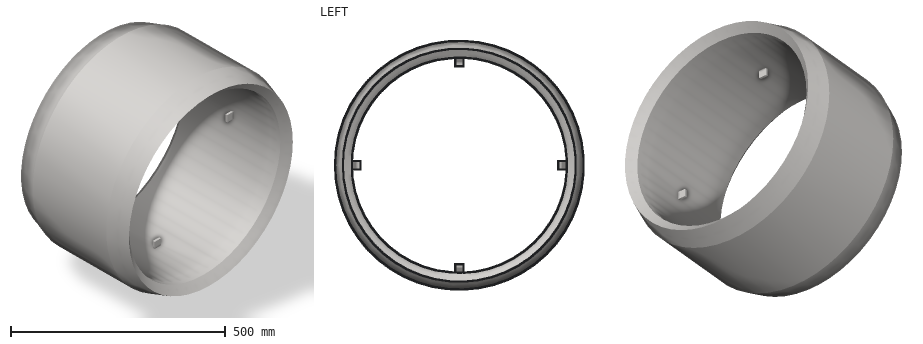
import cadquery as cq

length = 353.0
outer_radius = 289.5
bore_radius = 250.0
bevel_length = 56.0
bevel_depth = 18.5
countersink_depth = 20.0

tab_count = 4
tab_width = 20.0
tab_thickness = 6.0
tab_protrusion = 20.0
tab_embed = 6.0


def make_ring():
    """Revolve the wall: bevelled outside, countersunk bore, sharp end edges."""
    half = length / 2
    edge_radius = outer_radius - bevel_depth
    return (
        cq.Workplane("XY")
        .moveTo(-half, edge_radius)
        .lineTo(-half + bevel_length, outer_radius)
        .lineTo(half - bevel_length, outer_radius)
        .lineTo(half, edge_radius)
        .lineTo(half - countersink_depth, bore_radius)
        .lineTo(-half + countersink_depth, bore_radius)
        .close()
        .revolve(360, (0, 0, 0), (1, 0, 0))
    )


def make_tab(angle):
    """Make one tab on the bore, turned about the ring axis."""
    return (
        cq.Workplane("XY")
        .box(tab_thickness, tab_width, tab_protrusion + tab_embed, centered=(True, True, False))
        .translate((0, 0, bore_radius - tab_protrusion))
        .rotate((0, 0, 0), (1, 0, 0), angle)
    )


result = make_ring()
for index in range(tab_count):
    result = result.union(make_tab(index * 360 / tab_count))